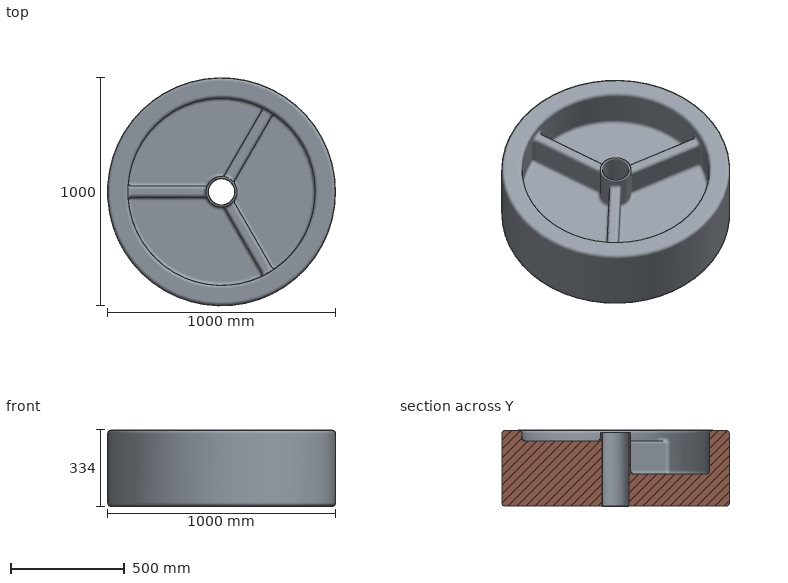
import cadquery as cq

outer_radius = 500
width = 334
edge_fillet = 15
corner_fillet = 15
cavity_radius = 410.5
cavity_depth = 191.5
floor_z = width - cavity_depth

bore_radius = 57.5
hub_radius = 67.5
hub_recess = 9
hub_top_z = width - hub_recess
lip_radius = (hub_radius - bore_radius) / 2
lip_base_z = hub_top_z - lip_radius

rib_count = 3
rib_thickness = 50
rib_top_z = 287.5
first_rib_angle = 60

overlap = 30

tolerance = 0.5


def make_rim():
    """Solid drum with rounded outer edges and a round cavity open at the top."""
    drum = cq.Workplane("XY").circle(outer_radius).extrude(width)
    cavity = cq.Workplane("XY", origin=(0, 0, floor_z)).circle(cavity_radius).extrude(cavity_depth)
    rim = drum.cut(cavity)
    rim = rim.faces(">Z").edges().fillet(edge_fillet)
    return rim.faces("<Z").edges().fillet(edge_fillet)


def make_hub():
    """Post with a fully rounded lip standing around its top, still without its bore."""
    profile = (
        cq.Workplane("XZ")
        .moveTo(0, 0)
        .lineTo(hub_radius, 0)
        .lineTo(hub_radius, lip_base_z)
        .threePointArc((bore_radius + lip_radius, hub_top_z), (bore_radius, lip_base_z))
        .lineTo(0, lip_base_z)
        .close()
    )
    return profile.revolve(360, (0, 0, 0), (0, 1, 0))


def make_rib(angle):
    """Radial wall from the wheel axis into the rim, with rounded top edges."""
    bottom_z = floor_z - overlap
    rib = cq.Workplane("XY", origin=(0, 0, bottom_z)).box(
        cavity_radius + overlap,
        rib_thickness,
        rib_top_z - bottom_z,
        centered=(False, True, False),
    )
    rib = rib.edges("|X and >Z").fillet(edge_fillet)
    return rib.rotate((0, 0, 0), (0, 0, 1), angle)


def is_rib_top_edge(edge):
    """True for the straight edges that run along the top of a rib."""
    box = edge.BoundingBox()
    is_level = box.zlen < tolerance
    return edge.geomType() == "LINE" and is_level and box.zmin > floor_z + tolerance


def fillet_inside_corners(body):
    """Round every corner where floor, cavity wall, ribs and hub meet."""
    reach = cavity_radius + tolerance
    zone = cq.selectors.BoxSelector(
        (-reach, -reach, floor_z - tolerance),
        (reach, reach, rib_top_z + tolerance),
        boundingbox=True,
    )
    corners = body.edges(zone).filter(lambda edge: not is_rib_top_edge(edge))
    return corners.fillet(corner_fillet)


wheel = make_rim().union(make_hub())
for index in range(rib_count):
    wheel = wheel.union(make_rib(first_rib_angle + index * 360 / rib_count))
wheel = fillet_inside_corners(wheel)

result = wheel.cut(cq.Workplane("XY").circle(bore_radius).extrude(lip_base_z))